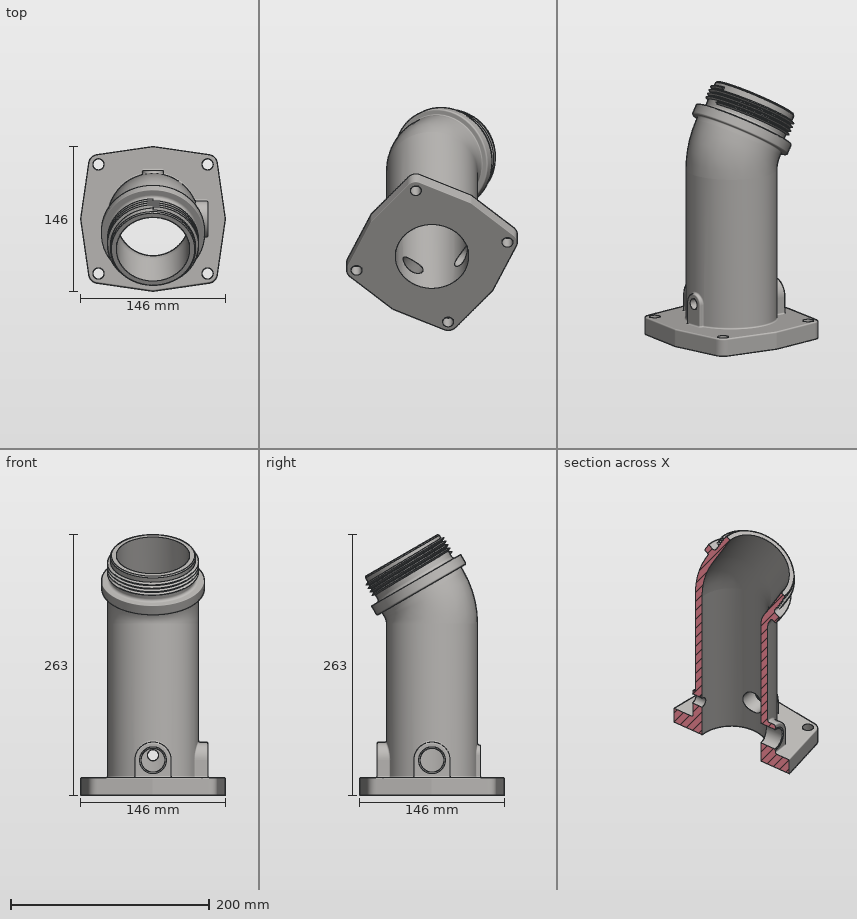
import math

import cadquery as cq

overall_width = 146.02
overall_height = 263.02

plate_thickness = 18.0
plate_corner_radius = 10.0
plate_apex_radius = 5.0
bolt_offset = 55.0
bolt_diameter = 11.0
plate_edge_fillet = 1.5
plate_bottom_fillet = 0.5

pipe_radius = 46.0
bore_radius = 37.0
bend_radius = 60.0
bend_angle = 30.0

spout_length = 45.0
spout_radius = 43.0
collar_radius = 52.0
collar_bottom = 5.0
collar_top = 16.0
collar_top_fillet = 0.5
collar_bottom_fillet = 1.5
collar_base_fillet = 1.0
neck_fillet = 3.0
rim_chamfer_radial = 1.0
rim_chamfer_axial = 1.5

thread_pitch = 4.0
thread_turns = 4
thread_first_crest = 23.0
thread_height = 3.0
thread_base_width = 3.0
thread_embed = 0.3

port_radius = 18.3
port_height = 35.5
port_face_distance = 55.5
port_edge_fillet = 2.0
port_hole_diameter = 24.0
port_mouth_rim = 1.5
port_mouth_depth = 0.5
port_angles = (0, 90)

drain_radius = 10.5
drain_height = 40.5
drain_face_distance = 49.0
drain_edge_fillet = 1.4
drain_hole_diameter = 11.0
drain_angle = 180

root_fillet = 1.5

selection_margin = 0.1

tilt = math.radians(bend_angle)
rim_radius = spout_radius - rim_chamfer_radial
bend_start = (
    overall_height
    - bend_radius * math.sin(tilt)
    - spout_length * math.cos(tilt)
    - rim_radius * math.sin(tilt)
)


def plate_outline():
    """Convex outline wrapped around four corner circles and four apex circles."""
    apex_distance = overall_width / 2 - plate_apex_radius
    apex_to_corner = math.hypot(bolt_offset, apex_distance - bolt_offset)
    slope = math.acos((plate_corner_radius - plate_apex_radius) / apex_to_corner)
    slope -= math.atan2(bolt_offset, apex_distance - bolt_offset)

    corner_distance = bolt_offset * math.sqrt(2)
    quarter = math.pi / 4
    arcs = []
    for index in range(4):
        apex_angle = 2 * index * quarter
        arcs.append((apex_distance, apex_angle, plate_apex_radius, slope))
        arcs.append((corner_distance, apex_angle + quarter, plate_corner_radius, quarter - slope))

    def arc_points(distance, direction, radius, half_span):
        center_x = distance * math.cos(direction)
        center_y = distance * math.sin(direction)
        return [
            (center_x + radius * math.cos(angle), center_y + radius * math.sin(angle))
            for angle in (direction - half_span, direction, direction + half_span)
        ]

    first_start, first_middle, first_end = arc_points(*arcs[0])
    outline = cq.Workplane("XY").moveTo(*first_start).threePointArc(first_middle, first_end)
    for arc in arcs[1:]:
        start, middle, end = arc_points(*arc)
        outline = outline.lineTo(*start).threePointArc(middle, end)
    return outline.close()


def make_plate():
    plate = plate_outline().extrude(plate_thickness)
    plate = plate.faces(">Z").edges().fillet(plate_edge_fillet)
    return plate.faces("<Z").edges().fillet(plate_bottom_fillet)


def bolt_holes():
    spacing = 2 * bolt_offset
    return (
        cq.Workplane("XY")
        .rect(spacing, spacing, forConstruction=True)
        .vertices()
        .circle(bolt_diameter / 2)
        .extrude(plate_thickness)
    )


def straight_rod(radius):
    return cq.Workplane("XY").circle(radius).extrude(bend_start)


def bend_rod(radius):
    """Round bar bent from vertical towards -Y."""
    return (
        cq.Workplane("XY", origin=(0, 0, bend_start))
        .circle(radius)
        .revolve(bend_angle, (0, -bend_radius, 0), (1, -bend_radius, 0))
    )


def place_on_bend(body):
    """Move a body built along Z to the end of the bend."""
    return body.rotate((0, 0, 0), (1, 0, 0), bend_angle).translate(
        (0, -bend_radius * (1 - math.cos(tilt)), bend_start + bend_radius * math.sin(tilt))
    )


def make_thread():
    """Right-hand V thread that starts and ends on the +Y side."""
    base_radius = spout_radius - thread_embed
    half_width = thread_base_width / 2 * (thread_height + thread_embed) / thread_height
    helix = cq.Wire.makeHelix(thread_pitch, thread_pitch * thread_turns, base_radius)
    thread = (
        cq.Workplane("XZ")
        .moveTo(base_radius, -half_width)
        .lineTo(spout_radius + thread_height, 0)
        .lineTo(base_radius, half_width)
        .close()
        .sweep(cq.Workplane(helix), isFrenet=True)
    )
    return thread.rotate((0, 0, 0), (0, 0, 1), 90).translate((0, 0, thread_first_crest))


def make_spout():
    root = pipe_radius + collar_base_fillet
    rim_base = spout_length - rim_chamfer_axial
    cove = neck_fillet * (1 - math.sqrt(0.5))
    base_cove = collar_base_fillet * (1 - math.sqrt(0.5))
    body = (
        cq.Workplane("XZ")
        .lineTo(pipe_radius, 0)
        .lineTo(pipe_radius, collar_bottom - collar_base_fillet)
        .threePointArc((pipe_radius + base_cove, collar_bottom - base_cove), (root, collar_bottom))
        .lineTo(collar_radius, collar_bottom)
        .lineTo(collar_radius, collar_top)
        .lineTo(spout_radius + neck_fillet, collar_top)
        .threePointArc(
            (spout_radius + cove, collar_top + cove),
            (spout_radius, collar_top + neck_fillet),
        )
        .lineTo(spout_radius, rim_base)
        .lineTo(rim_radius, spout_length)
        .lineTo(0, spout_length)
        .close()
        .revolve(360, (0, 0, 0), (0, 1, 0))
    )
    widest = cq.selectors.RadiusNthSelector(-1)
    body = body.edges("%CIRCLE").edges(widest).edges(">Z").fillet(collar_top_fillet)
    body = body.edges("%CIRCLE").edges(widest).edges("<Z").fillet(collar_bottom_fillet)
    return place_on_bend(body.union(make_thread()))


def make_boss(radius, height, face_distance, edge_fillet):
    """Round-topped boss that points towards -Y and stands on the plate."""
    boss = (
        cq.Workplane("XZ")
        .moveTo(-radius, 0)
        .lineTo(-radius, height)
        .threePointArc((0, height + radius), (radius, height))
        .lineTo(radius, 0)
        .close()
        .extrude(face_distance)
    )
    return boss.faces("<Y").edges("not <Z").fillet(edge_fillet)


def port_hole():
    """Port bore towards -Y with a shallow countersink at its mouth."""
    radius = port_hole_diameter / 2
    bore = cq.Workplane("XZ").center(0, port_height).circle(radius).extrude(port_face_distance)
    mouth = (
        cq.Workplane("XZ", origin=(0, -port_face_distance, port_height))
        .circle(radius + port_mouth_rim)
        .workplane(offset=-port_mouth_depth)
        .circle(radius)
        .loft()
    )
    return bore.union(mouth)


def drain_hole():
    return (
        cq.Workplane("XZ")
        .center(0, drain_height)
        .circle(drain_hole_diameter / 2)
        .extrude(-drain_face_distance)
    )


def turn(body, angle):
    return body.rotate((0, 0, 0), (0, 0, 1), angle)


port_boss = make_boss(port_radius, port_height, port_face_distance, port_edge_fillet)
drain_boss = make_boss(drain_radius, drain_height, drain_face_distance, drain_edge_fillet)

base = straight_rod(pipe_radius)
for port_angle in port_angles:
    base = base.union(turn(port_boss, port_angle))
base = base.union(turn(drain_boss, drain_angle))
base = base.union(make_plate())

wall_reach = pipe_radius + selection_margin
wall_zone = cq.selectors.BoxSelector(
    (-wall_reach, -wall_reach, plate_thickness + selection_margin),
    (wall_reach, wall_reach, port_height + port_radius),
)
foot_reach = port_face_distance + selection_margin
foot_zone = cq.selectors.BoxSelector(
    (-foot_reach, -foot_reach, plate_thickness - selection_margin),
    (foot_reach, foot_reach, plate_thickness + selection_margin),
)
base = base.edges(wall_zone + foot_zone).fillet(root_fillet)

body = base.union(bend_rod(pipe_radius)).union(make_spout())

body = body.cut(straight_rod(bore_radius))
body = body.cut(bend_rod(bore_radius))
body = body.cut(place_on_bend(cq.Workplane("XY").circle(bore_radius).extrude(spout_length)))

body = body.cut(bolt_holes())
for port_angle in port_angles:
    body = body.cut(turn(port_hole(), port_angle))
body = body.cut(drain_hole())

result = body